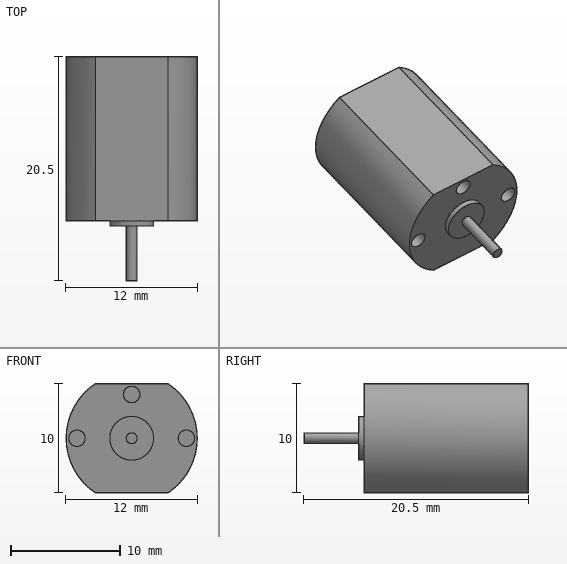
import cadquery as cq

body_diameter = 12.0
body_height = 10.0
body_length = 15.0

boss_diameter = 4.0
boss_length = 0.5
shaft_diameter = 1.0
shaft_length = 5.0

hole_diameter = 1.5
hole_depth = 2.0
side_hole_offset = 5.0
top_hole_offset = 4.0
hole_centers = [
    (-side_hole_offset, 0),
    (side_hole_offset, 0),
    (0, top_hole_offset),
]


def cylinder_toward_front(diameter, start_y, length):
    """Cylinder on the body axis, running from start_y toward -Y."""
    return (
        cq.Workplane("XZ", origin=(0, start_y, 0))
        .circle(diameter / 2)
        .extrude(length)
    )


def make_body():
    """Round can cut to body_height, with its front face at y = 0."""
    can = cylinder_toward_front(body_diameter, body_length, body_length)
    flats = cq.Workplane("XY").box(
        body_diameter, body_length, body_height, centered=(True, False, True)
    )
    return can.intersect(flats)


def make_mounting_holes():
    """Hole cutters running from the front face into the body."""
    return (
        cq.Workplane("XZ")
        .pushPoints(hole_centers)
        .circle(hole_diameter / 2)
        .extrude(-hole_depth)
    )


boss = cylinder_toward_front(boss_diameter, 0, boss_length)
shaft = cylinder_toward_front(shaft_diameter, -boss_length, shaft_length)

result = make_body().cut(make_mounting_holes()).union(boss).union(shaft)